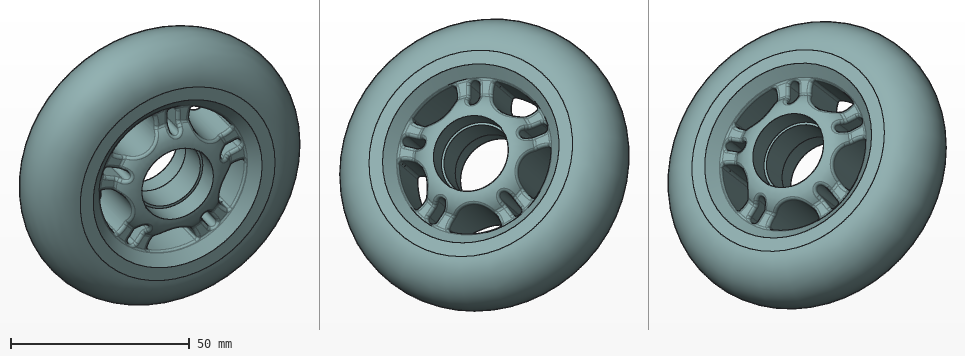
import cadquery as cq
import math

WHEEL_RADIUS = 42.0
HALF_WIDTH = 12.0
RIM_RADIUS = WHEEL_RADIUS - HALF_WIDTH

RIM_MOUTH_RADIUS = 52.0 / 2
WEB_OUTER_RADIUS = 22.6
WEB_HALF_THICKNESS = 8.7
DOME_FOOT_RADIUS = 17.8
BEARING_RADIUS = 22.0 / 2
SHOULDER_RADIUS = 20.5 / 2
SHOULDER_HALF_LENGTH = 4.95

SPOKE_COUNT = 5
OPENING_OUTER_RADIUS = 22.35
WINDOW_RADIUS = 7.9
WINDOW_CENTRE_DISTANCE = 22.4
SLOT_HALF_WIDTH = 1.35
SLOT_INNER_DISTANCE = 14.6
WINDOW_CORNER_RADIUS = 0.75
FILLET_RADIUS = 1.0

TOLERANCE = 0.01


def axle_distance(shape):
    """Distance of a face's or edge's centre from the axle."""
    return math.hypot(shape.Center().y, shape.Center().z)


def make_tire():
    """Half-round tire seated on the cylindrical rim."""
    return (
        cq.Workplane("XY")
        .moveTo(-HALF_WIDTH, RIM_RADIUS)
        .threePointArc((0, WHEEL_RADIUS), (HALF_WIDTH, RIM_RADIUS))
        .close()
        .revolve(360, (0, 0), (1, 0))
    )


def dome_midpoint():
    """Middle of the dome arc, which leaves the hub end face tangentially."""
    run = DOME_FOOT_RADIUS - BEARING_RADIUS
    drop = HALF_WIDTH - WEB_HALF_THICKNESS
    arc_radius = (run**2 + drop**2) / (2 * drop)
    half_sweep = math.asin(run / arc_radius) / 2
    x = HALF_WIDTH - arc_radius * (1 - math.cos(half_sweep))
    radius = BEARING_RADIUS + arc_radius * math.sin(half_sweep)
    return x, radius


def make_hub_blank():
    """Solid of revolution: rim, web, domed hub and two bearing seats."""
    dome_x, dome_radius = dome_midpoint()
    blank = (
        cq.Workplane("XY")
        .moveTo(-HALF_WIDTH, RIM_RADIUS)
        .lineTo(HALF_WIDTH, RIM_RADIUS)
        .lineTo(HALF_WIDTH, RIM_MOUTH_RADIUS)
        .lineTo(WEB_HALF_THICKNESS, WEB_OUTER_RADIUS)
        .lineTo(WEB_HALF_THICKNESS, DOME_FOOT_RADIUS)
        .threePointArc((dome_x, dome_radius), (HALF_WIDTH, BEARING_RADIUS))
        .lineTo(SHOULDER_HALF_LENGTH, BEARING_RADIUS)
        .lineTo(SHOULDER_HALF_LENGTH, SHOULDER_RADIUS)
        .lineTo(-SHOULDER_HALF_LENGTH, SHOULDER_RADIUS)
        .lineTo(-SHOULDER_HALF_LENGTH, BEARING_RADIUS)
        .lineTo(-HALF_WIDTH, BEARING_RADIUS)
        .threePointArc((-dome_x, dome_radius), (-WEB_HALF_THICKNESS, DOME_FOOT_RADIUS))
        .lineTo(-WEB_HALF_THICKNESS, WEB_OUTER_RADIUS)
        .lineTo(-HALF_WIDTH, RIM_MOUTH_RADIUS)
        .close()
        .revolve(360, (0, 0), (1, 0))
    )
    web_corners = [
        e for e in blank.edges("%CIRCLE").vals()
        if abs(abs(e.Center().x) - WEB_HALF_THICKNESS) < TOLERANCE
    ]
    return blank.newObject(web_corners).fillet(FILLET_RADIUS)


def make_slot():
    """Narrow radial slot along +Z with round ends."""
    length = OPENING_OUTER_RADIUS - SLOT_INNER_DISTANCE
    middle = (OPENING_OUTER_RADIUS + SLOT_INNER_DISTANCE) / 2
    return (
        cq.Workplane("YZ")
        .center(0, middle)
        .slot2D(length, 2 * SLOT_HALF_WIDTH, 90)
        .extrude(HALF_WIDTH, both=True)
    )


def make_window():
    """Half-round window on -Z, bounded by the rim and rounded at its two corners."""
    scoop = (
        cq.Workplane("YZ")
        .center(0, -WINDOW_CENTRE_DISTANCE)
        .circle(WINDOW_RADIUS)
        .extrude(HALF_WIDTH, both=True)
    )
    limit = cq.Workplane("YZ").circle(OPENING_OUTER_RADIUS).extrude(HALF_WIDTH, both=True)
    window = scoop.intersect(limit)
    rim_corners = [
        e for e in window.edges("|X").vals()
        if axle_distance(e) > OPENING_OUTER_RADIUS - TOLERANCE
    ]
    return window.newObject(rim_corners).fillet(WINDOW_CORNER_RADIUS)


def round_opening_edges(hub):
    """Fillet both mouths of every opening; their walls run along X, off the axle."""
    walls = [
        f for f in hub.faces().vals()
        if f.geomType() in ("PLANE", "CYLINDER")
        and abs(f.normalAt().x) < TOLERANCE
        and axle_distance(f) > BEARING_RADIUS
    ]
    mouth_edges = hub.newObject(walls).edges("not |X")
    return hub.newObject(mouth_edges.vals()).fillet(FILLET_RADIUS)


def make_hub():
    """Spoked hub: the revolved blank with slots and windows cut through its web."""
    hub = make_hub_blank()
    slot = make_slot()
    window = make_window()
    for i in range(SPOKE_COUNT):
        angle = i * 360 / SPOKE_COUNT
        for opening in (slot, window):
            hub = hub.cut(opening.rotate((0, 0, 0), (1, 0, 0), angle))
    return round_opening_edges(hub)


tire = make_tire()
hub = make_hub()
result = cq.Compound.makeCompound([tire.val(), hub.solids().val()])